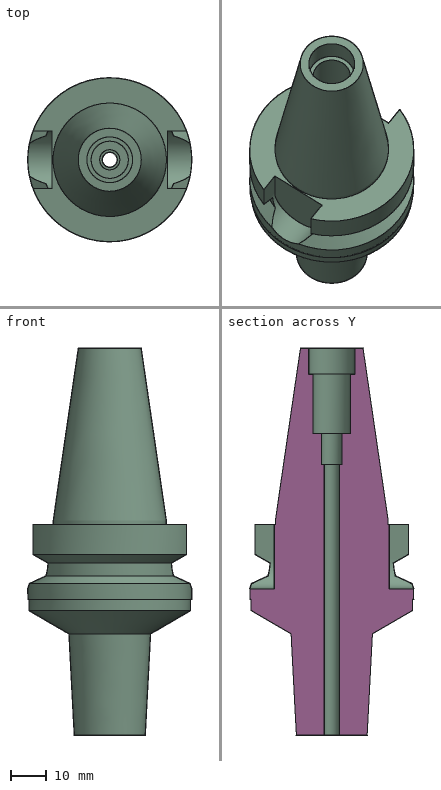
import cadquery as cq
import math

total_height = 108.4
gauge_z = 60.0
flange_top_z = 59.1

gauge_radius = 15.88
shank_slope = 7 / 48
shank_top_radius = gauge_radius - (total_height - gauge_z) * shank_slope

flange_radius = 23.0
groove_radius = 19.1
upper_rim_bottom_z = 50.6
groove_top_z = 48.2
groove_bottom_z = 44.7
lower_rim_top_z = 42.5
lower_rim_bottom_z = 38.0
collar_radius = 22.7
collar_bottom_z = 34.9

nose_tip_radius = 10.0
nose_angle = 3.0
nose_top_z = 28.4
nose_top_radius = nose_tip_radius + nose_top_z * math.tan(math.radians(nose_angle))

slot_width = 16.2
slot_floor_x = 16.2
slot_bottom_z = 41.1

through_radius = 2.1
bore_steps = [(6.4, 7.3), (5.2, 23.8), (2.8, 32.5)]


def make_body():
    profile = [
        (0, 0),
        (nose_tip_radius, 0),
        (nose_top_radius, nose_top_z),
        (collar_radius, collar_bottom_z),
        (collar_radius, lower_rim_bottom_z),
        (flange_radius, lower_rim_bottom_z),
        (flange_radius, lower_rim_top_z),
        (groove_radius, groove_bottom_z),
        (groove_radius, groove_top_z),
        (flange_radius, upper_rim_bottom_z),
        (flange_radius, flange_top_z),
        (gauge_radius, flange_top_z),
        (gauge_radius, gauge_z),
        (shank_top_radius, total_height),
        (0, total_height),
    ]
    return cq.Workplane("XZ").polyline(profile).close().revolve(360, (0, 0), (0, 1))


def make_drive_slot(side):
    """Round-bottomed slot cutter, open outwards; side is +1 or -1 along X."""
    half_width = slot_width / 2
    arc_center_z = slot_bottom_z + half_width
    return (
        cq.Workplane("YZ", origin=(side * slot_floor_x, 0, 0))
        .moveTo(-half_width, flange_top_z)
        .lineTo(-half_width, arc_center_z)
        .threePointArc((0, slot_bottom_z), (half_width, arc_center_z))
        .lineTo(half_width, flange_top_z)
        .close()
        .extrude(side * flange_radius)
    )


def make_bore():
    bore = cq.Workplane("XY").circle(through_radius).extrude(total_height)
    for radius, depth in bore_steps:
        step = cq.Workplane("XY", origin=(0, 0, total_height - depth)).circle(radius).extrude(depth)
        bore = bore.union(step)
    return bore


result = make_body().cut(make_bore())
for side in (-1, 1):
    result = result.cut(make_drive_slot(side))